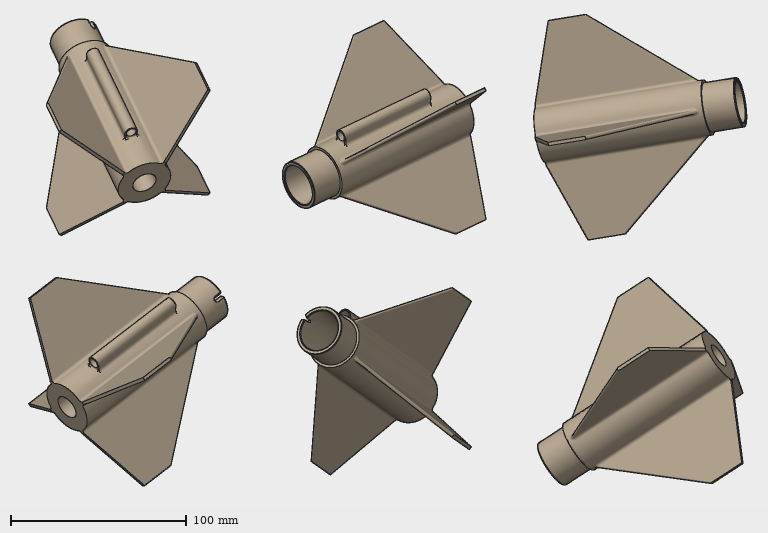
import cadquery as cq
import math

overall_length = 117.96
coupler_length = 19.2

body_diameter = 32.0
body_radius = body_diameter / 2
coupler_base_diameter = 28.8
coupler_tip_diameter = 28.75
coupler_face_diameter = 28.27
coupler_chamfer_length = 0.5

bore_mouth_diameter = 24.91
bore_front_diameter = 24.0
bore_chamfer_length = (bore_mouth_diameter - bore_front_diameter) / 2
bore_rear_diameter = 14.2

fin_count = 4
first_fin_angle = 45.0
fin_thickness = 2.0
overall_half_width = 45.94
fin_half_span = overall_half_width * math.sqrt(2) - fin_thickness / 2
fin_root_start_x = 21.9
fin_tip_start_x = 79.6
fin_tip_end_x = 101.7
fin_trailing_root_radius = 17.8
fin_embed_radius = body_radius - 1.0
fin_edge_radius = 0.75
fin_fillet_radius = 2.0

lug_start_x = 31.85
lug_end_x = 96.0
lug_axis_height = 20.0
lug_radius = 3.8
lug_bore_diameter = 6.0
lug_embed_depth = 1.5
lug_foot_sink = 0.02
lug_end_chamfer = 0.5
lug_side_fillet_radius = 2.3
lug_end_fillet_radius = 0.65

slot_angle = 45.0
slot_length = 6.7
slot_rim_width = 3.7
slot_floor_width = 1.2
slot_rim_radius = 14.3
slot_floor_radius = 12.0

surface_tolerance = 0.01
end_margin = 0.1


def revolve_about_x(profile_points):
    """Solid of revolution about X from (x, radius) points."""
    return cq.Workplane("XY").polyline(profile_points).close().revolve(360, (0, 0, 0), (1, 0, 0))


def make_body():
    return revolve_about_x([
        (0, 0),
        (0, coupler_face_diameter / 2),
        (coupler_chamfer_length, coupler_tip_diameter / 2),
        (coupler_length, coupler_base_diameter / 2),
        (coupler_length, body_radius),
        (overall_length, body_radius),
        (overall_length, 0),
    ])


def make_passage():
    return revolve_about_x([
        (0, 0),
        (0, bore_mouth_diameter / 2),
        (bore_chamfer_length, bore_front_diameter / 2),
        (overall_length, bore_rear_diameter / 2),
        (overall_length, 0),
    ])


def make_fin(angle):
    """One fin, with its leading edge rounded, turned about X by the given angle."""
    leading_slope = (fin_tip_start_x - fin_root_start_x) / (fin_half_span - body_radius)
    embed_start_x = fin_root_start_x - leading_slope * (body_radius - fin_embed_radius)
    fin = (
        cq.Workplane("XY")
        .polyline([
            (embed_start_x, fin_embed_radius),
            (fin_tip_start_x, fin_half_span),
            (fin_tip_end_x, fin_half_span),
            (overall_length, fin_trailing_root_radius),
            (overall_length, fin_embed_radius),
        ])
        .close()
        .extrude(fin_thickness / 2, both=True)
    )
    leading_middle = ((embed_start_x + fin_tip_start_x) / 2, (fin_embed_radius + fin_half_span) / 2)
    for side in (-1, 1):
        edge_point = (leading_middle[0], leading_middle[1], side * fin_thickness / 2)
        fin = fin.edges(cq.NearestToPointSelector(edge_point)).fillet(fin_edge_radius)
    return fin.rotate((0, 0, 0), (1, 0, 0), angle)


def root_edges(shape, keep):
    """Edges lying on the body surface, clear of both body ends, that pass the keep test."""

    def on_body(point):
        return abs(math.hypot(point.y, point.z) - body_radius) < surface_tolerance

    def is_root(edge):
        middle = edge.Center()
        between_ends = coupler_length + end_margin < middle.x < overall_length - end_margin
        lies_on_body = all(on_body(edge.positionAt(fraction)) for fraction in (0, 0.5, 1))
        return between_ends and lies_on_body and keep(middle)

    return shape.newObject([edge for edge in shape.edges().vals() if is_root(edge)])


def make_lug():
    """Straight-walled lug with concave feet, chamfered at both ends, around a full-length tube."""
    lug_length = lug_end_x - lug_start_x
    fillet_center_y = lug_radius + lug_side_fillet_radius
    fillet_center_distance = body_radius + lug_side_fillet_radius - lug_foot_sink
    fillet_center_z = math.sqrt(fillet_center_distance ** 2 - fillet_center_y ** 2)
    foot_distance_ratio = 1 - lug_side_fillet_radius / fillet_center_distance
    foot_y = fillet_center_y * foot_distance_ratio
    foot_z = fillet_center_z * foot_distance_ratio
    foot_angle = math.atan2(fillet_center_z - foot_z, fillet_center_y - foot_y)
    arc_middle_y = fillet_center_y - lug_side_fillet_radius * math.cos(foot_angle / 2)
    arc_middle_z = fillet_center_z - lug_side_fillet_radius * math.sin(foot_angle / 2)
    base_z = foot_z - lug_embed_depth

    plane = cq.Workplane("YZ", origin=(lug_start_x, 0, 0))
    web = (
        plane.moveTo(-foot_y, base_z)
        .lineTo(-foot_y, foot_z)
        .threePointArc((-arc_middle_y, arc_middle_z), (-lug_radius, fillet_center_z))
        .lineTo(-lug_radius, lug_axis_height)
        .threePointArc((0, lug_axis_height + lug_radius), (lug_radius, lug_axis_height))
        .lineTo(lug_radius, fillet_center_z)
        .threePointArc((arc_middle_y, arc_middle_z), (foot_y, foot_z))
        .lineTo(foot_y, base_z)
        .close()
        .extrude(lug_length)
    )
    web = web.faces("<X or >X").edges("not <Z").chamfer(lug_end_chamfer)
    tube = plane.center(0, lug_axis_height).circle(lug_radius).extrude(lug_length)
    return web.union(tube)


def make_lug_bore():
    return (
        cq.Workplane("YZ", origin=(lug_start_x, 0, lug_axis_height))
        .circle(lug_bore_diameter / 2)
        .extrude(lug_end_x - lug_start_x)
    )


def make_slot():
    """Round-ended radial slot that narrows from the coupler surface to the bore."""
    end_center_x = slot_length - slot_rim_width / 2
    taper_depth = slot_rim_radius - slot_floor_radius
    taper_angle = math.degrees(math.atan2((slot_rim_width - slot_floor_width) / 2, taper_depth))

    def outline(height, width):
        return cq.Workplane("XY", origin=(0, 0, height)).slot2D(2 * end_center_x + width, width)

    inner = outline(slot_floor_radius - taper_depth, slot_floor_width).extrude(2 * taper_depth)
    tapered = outline(slot_rim_radius, slot_rim_width).extrude(-taper_depth, taper=taper_angle)
    outer = outline(slot_rim_radius, slot_rim_width).extrude(taper_depth)
    return inner.union(tapered).union(outer).rotate((0, 0, 0), (1, 0, 0), slot_angle - 90)


def is_lug_end(middle):
    """True within the chamfered stretch at either end of the lug."""
    end_distance = min(abs(middle.x - lug_start_x), abs(middle.x - lug_end_x))
    near_lug = middle.z > 0 and abs(middle.y) < lug_radius + lug_side_fillet_radius
    return near_lug and end_distance < lug_end_chamfer


def is_any_root(_middle):
    return True


result = make_body()
for fin_index in range(fin_count):
    result = result.union(make_fin(first_fin_angle + fin_index * 360 / fin_count))
result = root_edges(result, is_any_root).fillet(fin_fillet_radius)

result = result.union(make_lug())
result = root_edges(result, is_lug_end).fillet(lug_end_fillet_radius)

result = result.cut(make_lug_bore()).cut(make_passage()).cut(make_slot())